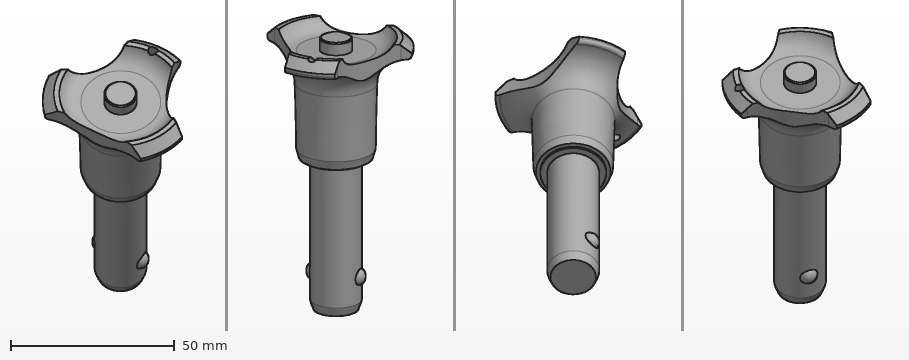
import cadquery as cq
import math


shank_radius = 8.0
shank_length = 49.0
tip_radius = 6.95
tip_height = 3.2
tip_bulge = 0.12

ball_radius = 3.0
ball_reach = 9.6
ball_height = 11.4

collar_radius = 10.1
collar_height = 0.7
body_foot_radius = 11.4
body_lower_radius = 12.25
body_upper_radius = 12.7
body_lower_z = 3.7
flare_z = 25.0
flare_radius = 9.6

handle_top_z = 39.7
rim_radius = 23.8
rim_round = 1.2
rim_edge_z = 36.6
lip_outer_radius = 20.4
lip_inner_radius = 18.7

floor_z = 35.6
floor_radius = 12.2

arm_half_width = 8.2
side_gap_radius = 25.0
side_gap_tangent_y = 20.4
side_gap_sweep = 60.0
front_gap_radius = 58.0
front_gap_distance = 14.15

button_radius = 5.0
button_chamfer = 0.4
lanyard_hole_diameter = 2.9
lanyard_hole_y = 19.65

clearance = 10.0


def make_shank():
    tip_z = -shank_length
    taper_mid = ((shank_radius + tip_radius) / 2 + tip_bulge, tip_z + tip_height / 2)
    return (
        cq.Workplane("XZ")
        .moveTo(0, tip_z)
        .lineTo(tip_radius, tip_z)
        .threePointArc(taper_mid, (shank_radius, tip_z + tip_height))
        .lineTo(shank_radius, collar_height)
        .lineTo(0, collar_height)
        .close()
        .revolve(360, (0, 0, 0), (0, 1, 0))
    )


def make_ball(side):
    center = (side * (ball_reach - ball_radius), 0, ball_height - shank_length)
    return cq.Workplane("XY").sphere(ball_radius).translate(center)


def make_handle_blank():
    center_r = body_upper_radius + flare_radius
    rim_bottom_z = flare_z + flare_radius
    diagonal = math.sqrt(0.5)
    flare_mid = (center_r - flare_radius * diagonal, flare_z + flare_radius * diagonal)
    rim_round_mid = (
        rim_radius - rim_round * (1 - diagonal),
        rim_bottom_z + rim_round * (1 - diagonal),
    )

    bowl_depth = handle_top_z - floor_z
    bowl_width = lip_inner_radius - floor_radius
    wall_radius = (bowl_width**2 + bowl_depth**2) / (2 * bowl_depth)
    half_sweep = math.asin(bowl_width / wall_radius) / 2
    bowl_mid = (
        floor_radius + wall_radius * math.sin(half_sweep),
        floor_z + wall_radius * (1 - math.cos(half_sweep)),
    )

    return (
        cq.Workplane("XZ")
        .moveTo(0, 0)
        .lineTo(collar_radius, 0)
        .lineTo(collar_radius, collar_height)
        .lineTo(body_foot_radius, collar_height)
        .lineTo(body_lower_radius, body_lower_z)
        .lineTo(body_upper_radius, flare_z)
        .threePointArc(flare_mid, (center_r, rim_bottom_z))
        .lineTo(rim_radius - rim_round, rim_bottom_z)
        .threePointArc(rim_round_mid, (rim_radius, rim_bottom_z + rim_round))
        .lineTo(rim_radius, rim_edge_z)
        .lineTo(lip_outer_radius, handle_top_z)
        .lineTo(lip_inner_radius, handle_top_z)
        .threePointArc(bowl_mid, (floor_radius, floor_z))
        .lineTo(0, floor_z)
        .close()
        .revolve(360, (0, 0, 0), (0, 1, 0))
    )


def make_side_gap():
    center_x = arm_half_width + side_gap_radius

    def arc_point(sweep):
        angle = math.radians(180 + sweep)
        return (
            center_x + side_gap_radius * math.cos(angle),
            side_gap_tangent_y + side_gap_radius * math.sin(angle),
        )

    arc_end = arc_point(side_gap_sweep)
    end_direction = math.radians(side_gap_sweep - 90)
    run = rim_radius
    far_end = (
        arc_end[0] + run * math.cos(end_direction),
        arc_end[1] + run * math.sin(end_direction),
    )
    top_y = rim_radius + clearance
    return (
        cq.Workplane("XY")
        .workplane(offset=flare_z)
        .moveTo(arm_half_width, top_y)
        .lineTo(arm_half_width, side_gap_tangent_y)
        .threePointArc(arc_point(side_gap_sweep / 2), arc_end)
        .lineTo(*far_end)
        .lineTo(far_end[0], top_y)
        .close()
        .extrude(handle_top_z - flare_z + clearance)
    )


def make_front_gap():
    return (
        cq.Workplane("XY")
        .workplane(offset=flare_z)
        .center(0, -front_gap_distance - front_gap_radius)
        .circle(front_gap_radius)
        .extrude(handle_top_z - flare_z + clearance)
    )


def make_lanyard_hole():
    return (
        cq.Workplane("XY")
        .workplane(offset=flare_z)
        .center(0, lanyard_hole_y)
        .circle(lanyard_hole_diameter / 2)
        .extrude(handle_top_z - flare_z + clearance)
    )


def make_button():
    return (
        cq.Workplane("XY")
        .workplane(offset=flare_z)
        .circle(button_radius)
        .extrude(handle_top_z - flare_z)
        .faces(">Z")
        .chamfer(button_chamfer)
    )


side_gap = make_side_gap()
handle = (
    make_handle_blank()
    .cut(side_gap)
    .cut(side_gap.mirror("YZ"))
    .cut(make_front_gap())
    .cut(make_lanyard_hole())
    .union(make_button())
)

result = handle.union(make_shank())
for side in (-1, 1):
    result = result.union(make_ball(side))